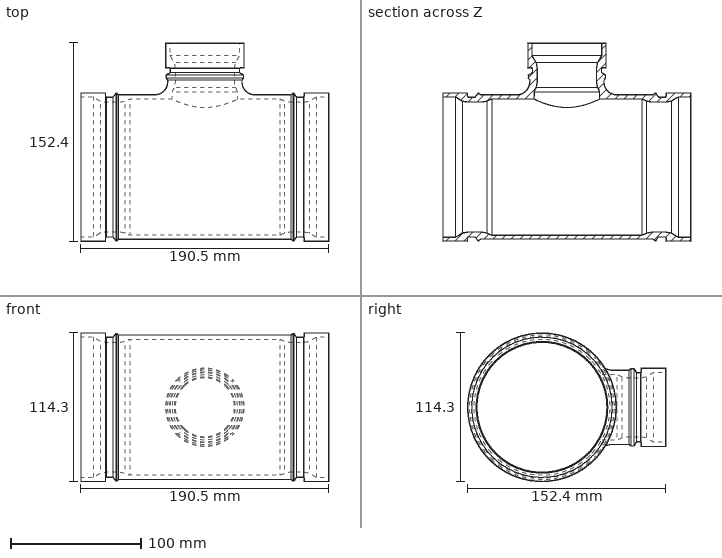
import cadquery as cq

run_length = 190.5
collar_diameter = 114.3
groove_diameter = 107.7
bead_diameter = 113.54
run_diameter = 111.25
groove_root = 0.5
collar_length = 19.05
groove_end = 24.8
bead_shoulder = 26.3
bead_shoulder_diameter = 112.0
bead_crest_start = 26.9
bead_crest_end = 27.7
bead_end = 29.0

mouth_growth = 7.98
mouth_length = 9.6
funnel_start = 12.0
funnel_start_growth = 5.3
funnel_end = 15.0
funnel_end_growth = 1.5
throat_start = 19.4
throat_end = 29.8
flare_start = 33.9
flare_start_growth = 1.5
flare_end = 35.3
flare_end_growth = 3.1
pipe_bore_start = 37.7
pipe_bore_growth = 4.72
run_throat_diameter = 99.72
branch_throat_diameter = 45.36

branch_end = run_length / 2
branch_collar_diameter = 60.3
branch_groove_diameter = 53.34
branch_bead_diameter = 59.56
branch_diameter = branch_collar_diameter - (collar_diameter - run_diameter)
branch_groove_end = 22.6
branch_bead_crest_start = 24.4
branch_bead_crest_end = 26.9
branch_bead_end = 28.4
junction_fillet = 9.8
selection_margin = 1.0


def revolve_x(stations):
    """Revolve (distance from the pipe end, diameter) stations, mirrored about X = 0, around X."""
    half = [(run_length / 2 - distance, diameter / 2) for distance, diameter in stations]
    mirrored = [(-x, radius) for x, radius in reversed(half)]
    outline = [(half[0][0], 0)] + half + mirrored + [(mirrored[-1][0], 0)]
    return cq.Workplane("XY").polyline(outline).close().revolve(axisStart=(0, 0), axisEnd=(1, 0))


def revolve_y(stations):
    """Revolve (distance from the branch end, diameter) stations around Y, down to Y = 0."""
    side = [(diameter / 2, branch_end - distance) for distance, diameter in stations]
    outline = [(0, side[0][1])] + side + [(side[-1][0], 0), (0, 0)]
    return cq.Workplane("XY").polyline(outline).close().revolve(axisStart=(0, 0), axisEnd=(0, 1))


def pipe_junction():
    """Plain run and branch cylinders with a fillet along the saddle where they meet."""
    run = cq.Workplane("YZ").circle(run_diameter / 2).extrude(run_length / 2 - bead_end, both=True)
    branch_length = branch_end - branch_bead_end
    branch = cq.Workplane("XZ").circle(branch_diameter / 2).extrude(-branch_length)
    joined = run.union(branch)
    half_width = branch_diameter / 2 + selection_margin
    top = run_diameter / 2 + selection_margin
    saddle_box = cq.selectors.BoxSelector((-half_width, 0, -half_width), (half_width, top, half_width))
    saddle = joined.edges(saddle_box)
    return saddle.fillet(junction_fillet)


def run_outside():
    """Run pipe solid with a collar, groove and bead at each end."""
    return revolve_x([
        (0, collar_diameter),
        (collar_length, collar_diameter),
        (collar_length, groove_diameter + 2 * groove_root),
        (collar_length + groove_root, groove_diameter),
        (groove_end, groove_diameter),
        (bead_shoulder, bead_shoulder_diameter),
        (bead_crest_start, bead_diameter),
        (bead_crest_end, bead_diameter),
        (bead_end, run_diameter),
    ])


def branch_outside():
    """Branch pipe solid with a collar, groove and bead at its open end."""
    return revolve_y([
        (0, branch_collar_diameter),
        (collar_length, branch_collar_diameter),
        (collar_length, branch_groove_diameter + 2 * groove_root),
        (collar_length + groove_root, branch_groove_diameter),
        (branch_groove_end, branch_groove_diameter),
        (branch_bead_crest_start, branch_bead_diameter),
        (branch_bead_crest_end, branch_bead_diameter),
        (branch_bead_end, branch_diameter),
    ])


def bore_stations(throat_diameter):
    """Bore of a pipe as (distance from the open end, diameter) stations."""
    growths = [
        (0, mouth_growth),
        (mouth_length, mouth_growth),
        (funnel_start, funnel_start_growth),
        (funnel_end, funnel_end_growth),
        (throat_start, 0),
        (throat_end, 0),
        (flare_start, flare_start_growth),
        (flare_end, flare_end_growth),
        (pipe_bore_start, pipe_bore_growth),
    ]
    return [(distance, throat_diameter + growth) for distance, growth in growths]


body = pipe_junction().union(run_outside()).union(branch_outside())
run_bore = revolve_x(bore_stations(run_throat_diameter))
branch_bore = revolve_y(bore_stations(branch_throat_diameter))
result = body.cut(run_bore).cut(branch_bore)